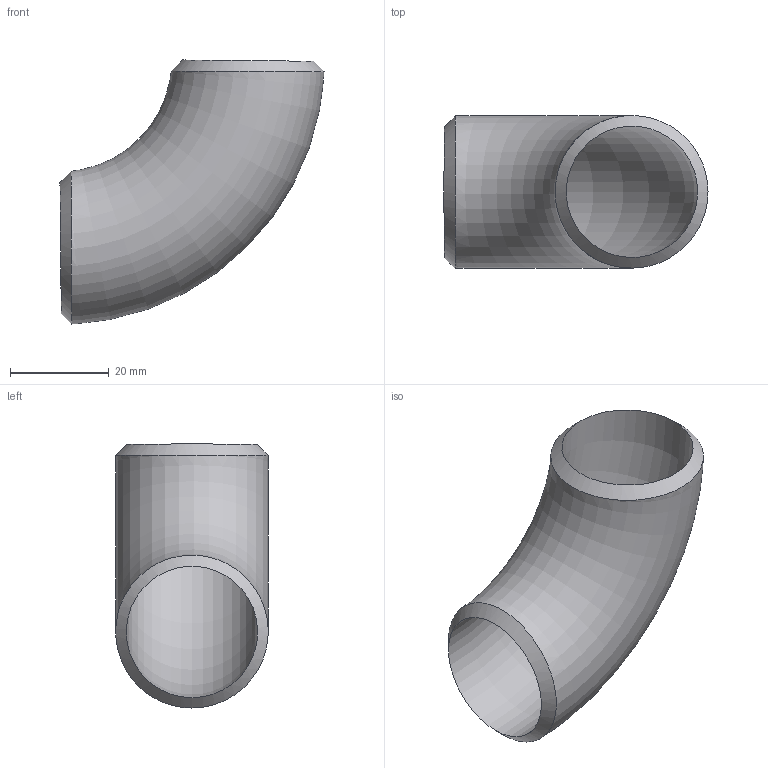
import cadquery as cq

outer_diameter = 30.9
bore_diameter = 26.6
bend_radius = 38.1
bend_angle = 90.0

bevel_axis_offset = 0.13

bevel_axis_radius = bend_radius - bevel_axis_offset
bevel_end_radius = bore_diameter / 2 - bevel_axis_offset
full_turn = 360
cutter_leg = outer_diameter / 4


def bend(diameter):
    """Solid quarter torus about the Y axis, from an end facing -X to an end facing +Z."""
    inner_side = (0, -bend_radius + diameter / 2)
    outer_side = (0, -bend_radius - diameter / 2)
    return (
        cq.Workplane("YZ")
        .moveTo(*inner_side)
        .threePointArc((diameter / 2, -bend_radius), outer_side)
        .threePointArc((-diameter / 2, -bend_radius), inner_side)
        .close()
        .revolve(bend_angle, (0, 0), (-1, 0))
    )


def top_bevel_cutter():
    """Ring with a 45 degree conical inner face, around the end that faces +Z."""
    inner = bevel_axis_radius + bevel_end_radius
    return (
        cq.Workplane("XZ")
        .moveTo(inner, 0)
        .lineTo(inner + cutter_leg, 0)
        .lineTo(inner + cutter_leg, -cutter_leg)
        .close()
        .revolve(full_turn, (bevel_axis_radius, 0), (bevel_axis_radius, 1))
    )


def side_bevel_cutter():
    """The same ring around the end that faces -X."""
    turned = top_bevel_cutter().rotate((0, 0, 0), (0, 1, 0), bend_angle)
    return turned.mirror("YZ")


pipe = bend(outer_diameter).cut(bend(bore_diameter))
result = pipe.cut(top_bevel_cutter()).cut(side_bevel_cutter())